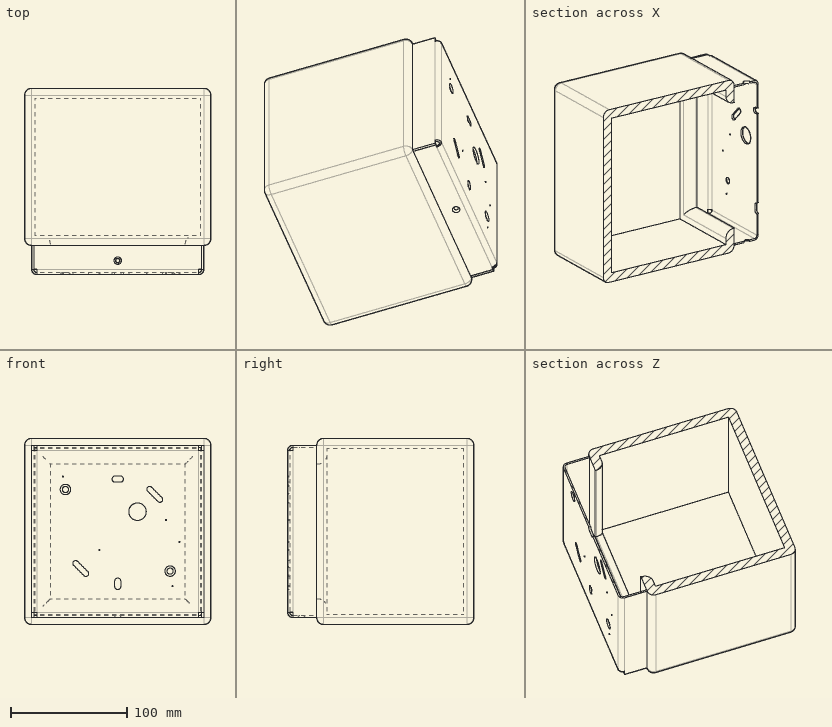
import cadquery as cq
import math

cube_side = 160.0
pan_side = 148.0
pan_depth = 25.0
front = -cube_side / 2
back = cube_side / 2
mouth = front + pan_depth

edge_radius = (cube_side - pan_side) / 2
wall = 8.8
opening_side = 115.8
lip_radius = 7.7

sheet = 2.0
bend_radius = 4.5
corner_slit = 0.2

slot_circle_radius = 45.0
short_slot_width = 5.3
short_slot_length = 9.8
long_slot_width = 4.8
long_slot_length = 17.3
long_slot_tilt = -45

cable_diameter = 15.0
cable_centre = (17.0, 17.0)
screw_diameter = 5.3
screw_head_diameter = 9.0
screw_centres = [(-45.0, 36.0), (45.0, -34.0)]
pilot_diameter = 0.8
pilot_centres = [(-47.0, 47.0), (47.0, -47.0), (53.0, -9.0), (41.5, 9.8), (-15.8, -15.8)]

lock_diameter = 3.5
lock_head_diameter = 6.4
lock_setback = 12.0


def plane_at(y):
    """Plane with local x along X, local y along Z and normal along -Y."""
    return cq.Workplane("XZ", origin=(0, y, 0))


def square_block(side, start, end):
    """Centred square block between two positions along Y."""
    return plane_at(start).rect(side, side).extrude(start - end)


def make_shade():
    """Rounded hollow cube with a square opening in its front wall."""
    outer = square_block(cube_side, mouth, back).edges().fillet(edge_radius)
    cavity = square_block(cube_side - 2 * wall, mouth + wall, back - wall)
    opening = square_block(opening_side, mouth, mouth + wall)
    shade = outer.cut(cavity).cut(opening)

    half = opening_side / 2
    inner = mouth + wall
    margin = wall / 2
    lip_zone = cq.selectors.BoxSelector(
        (-half - margin, inner - margin, -half - margin),
        (half + margin, inner + margin, half + margin),
    )
    return shade.edges(lip_zone).edges("#Y").fillet(lip_radius)


def bent_face():
    """Face of the pan with one pair of opposite bends, which run along Z."""
    half = pan_side / 2
    flat = half - bend_radius
    bend_end = front + bend_radius
    inner_radius = bend_radius - sheet
    return (
        cq.Workplane("XY", origin=(0, 0, -flat))
        .moveTo(-half, bend_end)
        .radiusArc((-flat, front), -bend_radius)
        .lineTo(flat, front)
        .radiusArc((half, bend_end), -bend_radius)
        .lineTo(half - sheet, bend_end)
        .radiusArc((flat, front + sheet), inner_radius)
        .lineTo(-flat, front + sheet)
        .radiusArc((sheet - half, bend_end), inner_radius)
        .close()
        .extrude(2 * flat)
    )


def flanges():
    """Two full-height side flanges with the upper and lower ones fitted between them."""
    length = pan_depth - bend_radius
    middle = mouth - length / 2
    offset = (pan_side - sheet) / 2
    level_width = pan_side - 2 * (sheet + corner_slit)
    side_flange = cq.Workplane("XY").box(sheet, length, pan_side)
    level_flange = cq.Workplane("XY").box(level_width, length, sheet)
    placed = []
    for sign in (-1, 1):
        placed.append(side_flange.translate((sign * offset, middle, 0)))
        placed.append(level_flange.translate((0, middle, sign * offset)))
    return placed


def slot_cutter(length, width, tilt, x, z):
    return plane_at(front).center(x, z).slot2D(length, width, tilt).extrude(-sheet)


def hole_cutter(diameter, centres):
    return plane_at(front).pushPoints(centres).circle(diameter / 2).extrude(-sheet)


def countersink_cutter(head_diameter, diameter):
    """Cone that is wide at the origin and narrows along +Z through the sheet."""
    return cq.Workplane(cq.Solid.makeCone(head_diameter / 2, diameter / 2, sheet))


def cut_slots(pan):
    """Short slots above and below the centre, long ones on the diagonal."""
    pan = pan.cut(slot_cutter(short_slot_length, short_slot_width, 0, 0, slot_circle_radius))
    pan = pan.cut(slot_cutter(short_slot_length, short_slot_width, 90, 0, -slot_circle_radius))
    reach = slot_circle_radius / math.sqrt(2)
    for place in (-reach, reach):
        pan = pan.cut(slot_cutter(long_slot_length, long_slot_width, long_slot_tilt, place, place))
    return pan


def cut_face_holes(pan):
    """Cable entry, pilot holes and countersunk mounting holes."""
    pan = pan.cut(hole_cutter(cable_diameter, [cable_centre]))
    pan = pan.cut(hole_cutter(pilot_diameter, pilot_centres))
    cone = countersink_cutter(screw_head_diameter, screw_diameter)
    cone = cone.rotate((0, 0, 0), (1, 0, 0), -90)
    for x, z in screw_centres:
        pan = pan.cut(cone.translate((x, front, z)))
    return pan


def cut_lock_holes(pan):
    """Countersunk holes through the lower and upper flanges."""
    cone = countersink_cutter(lock_head_diameter, lock_diameter)
    cone = cone.translate((0, front + lock_setback, -pan_side / 2))
    for turn in (0, 180):
        pan = pan.cut(cone.rotate((0, 0, 0), (0, 1, 0), turn))
    return pan


def make_pan():
    """Shallow folded pan that butts against the rim of the shade."""
    pan = bent_face().union(bent_face().rotate((0, 0, 0), (0, 1, 0), 90))
    for flange in flanges():
        pan = pan.union(flange)
    pan = cut_slots(pan)
    pan = cut_face_holes(pan)
    return cut_lock_holes(pan)


shade = make_shade()
pan = make_pan()
result = cq.Compound.makeCompound([shade.val(), pan.val()])